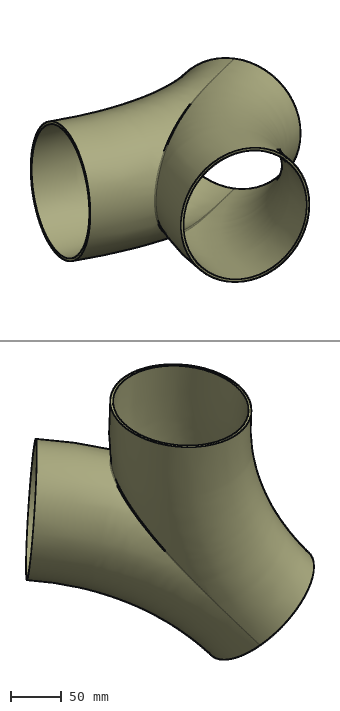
import cadquery as cq
import math

overall_width = 292.0
pipe_diameter = 139.5
wall = 3.0
bend_angle = 45.0
outer_seam_fillet = 1.0
fade_length = 5.8
fade_width = 5.8

pipe_radius = pipe_diameter / 2
bore_radius = pipe_radius - wall

bore_seam_fillet = outer_seam_fillet + wall

cos_bend = math.cos(math.radians(bend_angle))
bend_radius = (overall_width / 2 - pipe_radius * cos_bend) / (1 - cos_bend)


def bend(radius):
    """Solid round bar from the shared end, curving toward -Y and +X."""
    axis_start = (bend_radius, -3, 0)
    axis_end = (bend_radius, 3, 0)
    return cq.Workplane("XZ").circle(radius).revolve(bend_angle, axis_start, axis_end)


def joined_branches(radius, seam_fillet):
    """A bend and its mirror image in one solid, with the seam in the plane X = 0 rounded."""
    branch = bend(radius)
    branches = branch.union(branch.mirror("YZ"))

    seam_end = cq.Workplane("XY").box(
        fade_width, fade_length, overall_width, centered=(True, False, True)
    ).translate((0, -fade_length, 0))

    seam = cq.selectors.NearestToPointSelector((0, -bend_radius / 2, 0))
    rounded = branches.cut(seam_end).edges(seam).fillet(seam_fillet)
    return rounded.union(branches.intersect(seam_end)).clean()


outside = joined_branches(pipe_radius, outer_seam_fillet)
bore = joined_branches(bore_radius, bore_seam_fillet)
result = cq.Workplane(outside.cut(bore).solids().val())